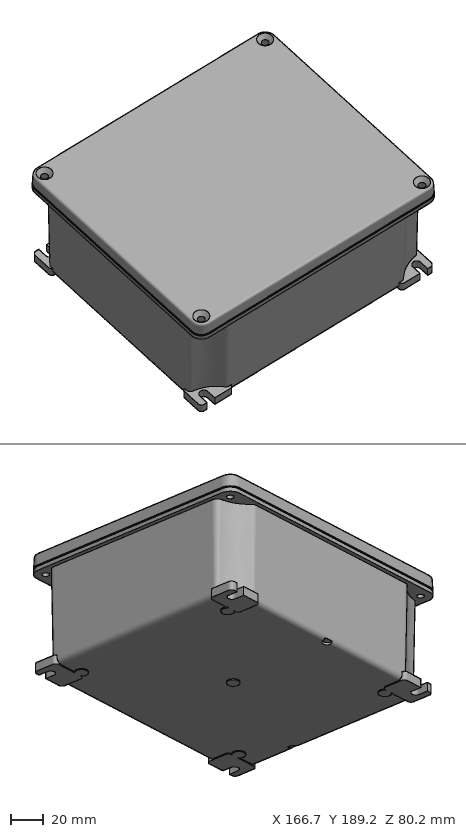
import cadquery as cq
import math

LENGTH_X = 166.7
LENGTH_Y = 189.2
HEIGHT = 80.2

RIM_HEIGHT = 12.7
FLANGE_HEIGHT = 3.0
SEAM_HEIGHT = 0.8
SEAM_DEPTH = 0.4
RIM_CORNER_RADIUS = 7.5
LID_DRAFT = 3.0
LID_EDGE_RADIUS = 1.7

SCREW_HOLE_DIAMETER = 4.7
COUNTERSINK_DIAMETER = 10.5
COUNTERSINK_ANGLE = 90.0

BOX_INSET = 3.0
BOX_DRAFT = 1.0
FLOOR_Z = 0.8
FLOOR_EDGE_RADIUS = 3.5

SCOOP_RADIUS = 27.2
SCOOP_X = 96.5
SCOOP_Y = 92.1
SCOOP_EDGE_RADIUS = 4.4

FOOT_X_OUTER = 81.4
FOOT_X_INNER = 63.2
FOOT_Y_OUTER = 92.0
FOOT_Y_INNER = 66.2
FOOT_HEIGHT = 6.0
FOOT_CORNER_RADIUS = 2.6
SLOT_WIDTH = 6.0
SLOT_Y = 84.0
SLOT_DEPTH = 9.8

PAD_DIAMETER = 8.5
PAD_X = 60.0
PAD_Y = 71.9

RECESS_DIAMETER = 6.5
RECESS_HEIGHT = 1.5
RECESS_INSET = 1.9
FRONT_RECESS_X = 30.0

CORNERS = [(sx, sy) for sx in (-1, 1) for sy in (-1, 1)]
RIM_Z = HEIGHT - RIM_HEIGHT
BOX_HEIGHT = RIM_Z - FLOOR_Z
BOX_X = LENGTH_X - 2 * BOX_INSET
BOX_Y = LENGTH_Y - 2 * BOX_INSET


def rounded_plate(size_x, size_y, corner_radius, z, height, draft=0.0):
    outline = cq.Sketch().rect(size_x, size_y).vertices().fillet(corner_radius)
    return cq.Workplane("XY").workplane(offset=z).placeSketch(outline).extrude(height, taper=draft)


def make_rim():
    seam_z = RIM_Z + FLANGE_HEIGHT
    lid_z = seam_z + SEAM_HEIGHT
    flange = rounded_plate(LENGTH_X, LENGTH_Y, RIM_CORNER_RADIUS, RIM_Z, FLANGE_HEIGHT)
    seam = rounded_plate(
        LENGTH_X - 2 * SEAM_DEPTH,
        LENGTH_Y - 2 * SEAM_DEPTH,
        RIM_CORNER_RADIUS - SEAM_DEPTH,
        seam_z,
        SEAM_HEIGHT,
    )
    lid = rounded_plate(LENGTH_X, LENGTH_Y, RIM_CORNER_RADIUS, lid_z, HEIGHT - lid_z, LID_DRAFT)
    lid = lid.faces(">Z").edges().fillet(LID_EDGE_RADIUS)
    return flange.union(seam).union(lid)


def drill_screw_holes(body):
    spacing_x = LENGTH_X - 2 * RIM_CORNER_RADIUS
    spacing_y = LENGTH_Y - 2 * RIM_CORNER_RADIUS
    return (
        body.copyWorkplane(cq.Workplane("XY").workplane(offset=HEIGHT))
        .rarray(spacing_x, spacing_y, 2, 2)
        .cskHole(SCREW_HOLE_DIAMETER, COUNTERSINK_DIAMETER, COUNTERSINK_ANGLE, depth=RIM_HEIGHT)
    )


def make_box():
    outline = (
        cq.Sketch()
        .rect(BOX_X, BOX_Y)
        .push([(sx * SCOOP_X, sy * SCOOP_Y) for sx, sy in CORNERS])
        .circle(SCOOP_RADIUS, mode="s")
        .reset()
        .vertices()
        .fillet(SCOOP_EDGE_RADIUS)
    )
    box = cq.Workplane("XY").workplane(offset=RIM_Z).placeSketch(outline)
    box = box.extrude(-BOX_HEIGHT, taper=BOX_DRAFT)
    return box.faces("<Z").edges().fillet(FLOOR_EDGE_RADIUS)


def cut_floor_recesses(box):
    draft_inset = BOX_HEIGHT * math.tan(math.radians(BOX_DRAFT))
    front_y = -BOX_Y / 2 + draft_inset + RECESS_INSET
    left_x = -BOX_X / 2 + draft_inset + RECESS_INSET
    recesses = (
        cq.Workplane("XY")
        .workplane(offset=FLOOR_Z)
        .pushPoints([(FRONT_RECESS_X, front_y), (left_x, 0)])
        .circle(RECESS_DIAMETER / 2)
        .extrude(RECESS_HEIGHT)
    )
    return box.cut(recesses)


def make_foot(sx, sy):
    size_x = FOOT_X_OUTER - FOOT_X_INNER
    size_y = FOOT_Y_OUTER - FOOT_Y_INNER
    centre_x = sx * (FOOT_X_OUTER + FOOT_X_INNER) / 2
    centre_y = sy * (FOOT_Y_OUTER + FOOT_Y_INNER) / 2
    plate = rounded_plate(size_x, size_y, FOOT_CORNER_RADIUS, 0, FOOT_HEIGHT)
    plate = plate.translate((centre_x, centre_y, 0))
    slot = (
        cq.Workplane("XY")
        .center(sx * FOOT_X_OUTER, sy * SLOT_Y)
        .slot2D(2 * SLOT_DEPTH, SLOT_WIDTH)
        .extrude(FOOT_HEIGHT)
    )
    return plate, slot


def make_pads():
    centres = [(0, 0)] + [(sx * PAD_X, sy * PAD_Y) for sx, sy in CORNERS]
    return cq.Workplane("XY").pushPoints(centres).circle(PAD_DIAMETER / 2).extrude(FLOOR_EDGE_RADIUS)


result = cut_floor_recesses(make_box()).union(drill_screw_holes(make_rim())).union(make_pads())
for corner in CORNERS:
    foot, foot_slot = make_foot(*corner)
    result = result.union(foot).cut(foot_slot)